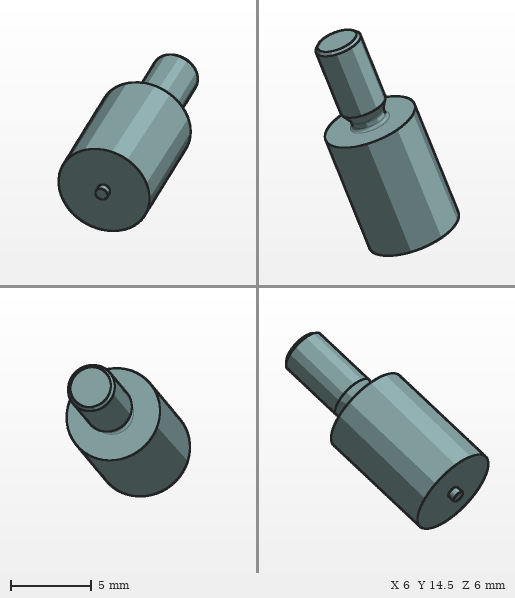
import cadquery as cq
import math

total_length = 14.5
body_diameter = 6.0
body_length = 8.0
stud_diameter = 3.0
stud_length = 6.0
stud_end_chamfer = 0.2
neck_diameter = 2.2
neck_length = 0.57
neck_root_fillet = 0.2
cone_blend_radius = 0.2
cone_half_angle = 30.0
pin_diameter = 0.8

pin_length = total_length - body_length - stud_length
body_radius = body_diameter / 2
stud_radius = stud_diameter / 2
neck_radius = neck_diameter / 2
pin_radius = pin_diameter / 2
cone_length = (stud_radius - neck_radius) / math.tan(math.radians(cone_half_angle))
cone_end = neck_length + cone_length

half_section = (
    cq.Workplane("XY")
    .moveTo(0, -body_length - pin_length)
    .lineTo(pin_radius, -body_length - pin_length)
    .lineTo(pin_radius, -body_length)
    .lineTo(body_radius, -body_length)
    .lineTo(body_radius, 0)
    .lineTo(neck_radius, 0)
    .lineTo(neck_radius, neck_length)
    .lineTo(stud_radius, cone_end)
    .lineTo(stud_radius, stud_length - stud_end_chamfer)
    .lineTo(stud_radius - stud_end_chamfer, stud_length)
    .lineTo(0, stud_length)
    .close()
)
turned_part = half_section.revolve(360, (0, 0, 0), (0, 1, 0))


def round_inner_edge(part, position, radius):
    """Fillet the circular neck edge found at the given position along Y."""
    half_width = neck_radius + 0.01
    margin = 0.01
    edge_zone = cq.selectors.BoxSelector(
        (-half_width, position - margin, -half_width),
        (half_width, position + margin, half_width),
        boundingbox=True,
    )
    return part.edges(edge_zone).fillet(radius)


rooted_part = round_inner_edge(turned_part, 0, neck_root_fillet)
result = round_inner_edge(rooted_part, neck_length, cone_blend_radius)